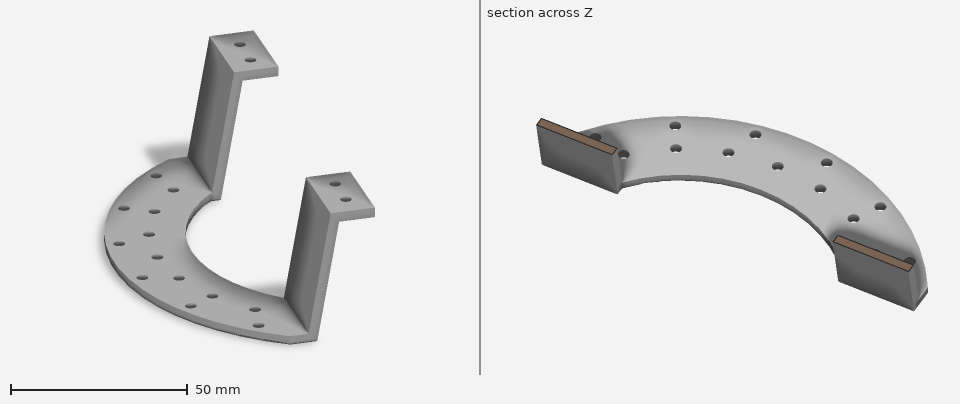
import cadquery as cq
import math

width = 120.0
depth = 59.0
height = 40.0
thickness = 3.0

outer_radius = 70.0
inner_radius = 46.9
bottom_round = 1.0

leg_width = 24.5
tab_length = 13.1
leg_tilt = 10.0

hole_diameter = 3.4
inner_row_radius = 57.2
inner_row_angles = [-45, -30, -15, 0, 15, 30, 45]
outer_row_radius = 66.1
outer_row_angles = [-50, -30, -10, 10, 30, 50]
tab_hole_offsets = [42.0, 52.5]
tab_hole_setback = 6.4

half_width = width / 2
leg_inner_x = half_width - leg_width
rear_y = depth - outer_radius
slope = math.tan(math.radians(leg_tilt))
wall_run = thickness / math.cos(math.radians(leg_tilt))


def leg_front_y(z):
    """Y of the sloping front face of the legs at height z."""
    return rear_y - tab_length - slope * (height - z)


def leg_rear_y(z):
    """Y of the sloping rear face of the legs at height z."""
    return leg_front_y(z) + wall_run


def make_side_profile():
    """Z-shaped sheet section, extruded across the full width."""
    tab_underside = height - thickness
    points = [
        (rear_y, height),
        (rear_y - tab_length, height),
        (leg_front_y(thickness), thickness),
        (-outer_radius, thickness),
        (-outer_radius, 0),
        (leg_rear_y(0), 0),
        (leg_rear_y(tab_underside), tab_underside),
        (rear_y, tab_underside),
    ]
    return cq.Workplane("YZ").polyline(points).close().extrude(half_width, both=True)


def make_plan_outline():
    """U-shaped plan outline, extruded to the full height."""
    outer_corner_y = -math.sqrt(outer_radius**2 - half_width**2)
    inner_corner_y = -math.sqrt(inner_radius**2 - leg_inner_x**2)
    return (
        cq.Workplane("XY")
        .moveTo(-half_width, rear_y)
        .lineTo(-half_width, outer_corner_y)
        .threePointArc((0, -outer_radius), (half_width, outer_corner_y))
        .lineTo(half_width, rear_y)
        .lineTo(leg_inner_x, rear_y)
        .lineTo(leg_inner_x, inner_corner_y)
        .threePointArc((0, -inner_radius), (-leg_inner_x, inner_corner_y))
        .lineTo(-leg_inner_x, rear_y)
        .close()
        .extrude(height)
    )


def arc_points(radius, angles):
    """Points on an arc, with angles in degrees from the -Y axis."""
    return [
        (radius * math.sin(math.radians(angle)), -radius * math.cos(math.radians(angle)))
        for angle in angles
    ]


def make_hole_cutters():
    """Vertical cylinders for every through hole."""
    points = arc_points(inner_row_radius, inner_row_angles)
    points += arc_points(outer_row_radius, outer_row_angles)
    for side in (-1, 1):
        points += [(side * x, rear_y - tab_hole_setback) for x in tab_hole_offsets]
    return cq.Workplane("XY").pushPoints(points).circle(hole_diameter / 2).extrude(height)


bracket = make_side_profile().intersect(make_plan_outline())

bracket = bracket.faces("<Z").edges().fillet(bottom_round)

result = bracket.cut(make_hole_cutters())